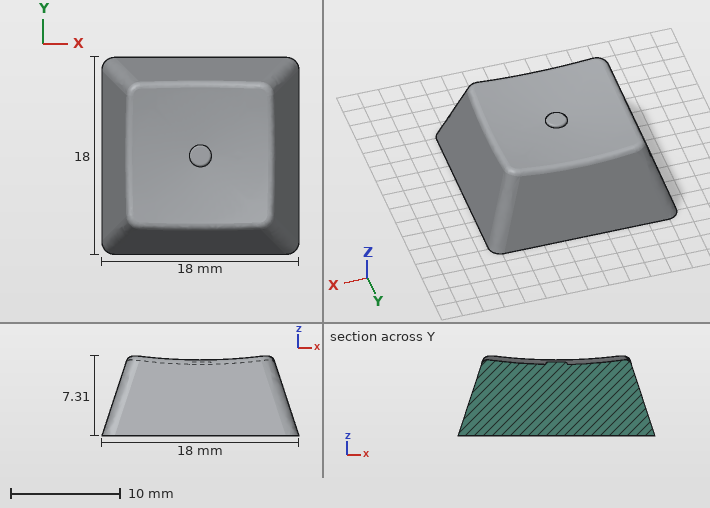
import cadquery as cq
import math

base_side = 18.0
height = 7.3
draft_angle = 18.2
corner_radius = 1.26
rim_radius = 0.6

dish_radius = 45.0
dish_bottom = 6.52

bump_diameter = 2.02
bump_height = 0.23
bump_edge_radius = 0.2

blank_height = 1.2 * height


def tapered_body():
    top_side = base_side - 2 * blank_height * math.tan(math.radians(draft_angle))
    body = (
        cq.Workplane("XY")
        .rect(base_side, base_side)
        .workplane(offset=blank_height)
        .rect(top_side, top_side)
        .loft(ruled=True)
    )
    wall_edges = body.edges("not(|X or |Y)")
    return wall_edges.fillet(corner_radius)


def dish_ball():
    return cq.Workplane("XY").sphere(dish_radius).translate((0, 0, dish_bottom + dish_radius))


def homing_bump():
    root_depth = bump_height
    return (
        cq.Workplane("XY", origin=(0, 0, dish_bottom - root_depth))
        .circle(bump_diameter / 2)
        .extrude(root_depth + bump_height)
        .faces(">Z")
        .edges()
        .fillet(bump_edge_radius)
    )


cap = tapered_body().cut(dish_ball())
rim_zone = cq.selectors.BoxSelector(
    (-base_side, -base_side, dish_bottom), (base_side, base_side, blank_height), boundingbox=True
)
cap = cap.edges(rim_zone).fillet(rim_radius)
result = cap.union(homing_bump())